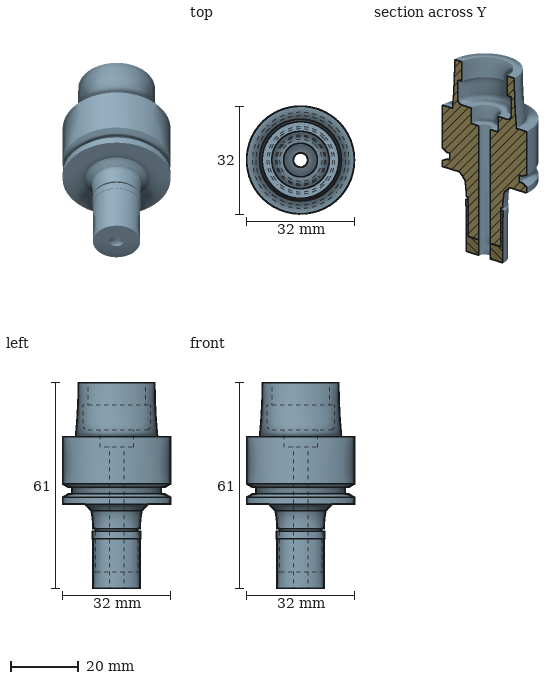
import cadquery as cq
import math

nut_height = 17.0
nut_collar_height = 2.2
nose_bottom = 17.7
nose_top = 23.0
flange_bottom = 25.0
flange_top = 45.0
overall_height = 61.0

flange_radius = 16.0
groove_floor_radius = 13.25
groove_lower_edge = 27.0
groove_upper_edge = 31.0
groove_flank_height = 1.0
groove_flank_angle = 30.0
groove_lip_radius = flange_radius - groove_flank_height / math.tan(math.radians(groove_flank_angle))

shank_top_radius = 11.35
shank_base_radius = 12.15

nose_cone_radius = 9.4
nose_top_radius = 7.5
nose_bottom_radius = 7.0

nut_radius = 7.0
nut_collar_radius = 7.15
stub_radius = 6.25
nut_end_wall = 5.0

bore_radius = 8.5
bore_mouth_depth = 6.5
undercut_radius = 10.0
undercut_wall_length = 6.0
undercut_fillet = 1.5
counterbore_radius = 5.0
counterbore_depth = 5.0
through_hole_radius = 2.1

undercut_top = overall_height - bore_mouth_depth
undercut_wall_bottom = undercut_top - undercut_wall_length
bore_floor = undercut_wall_bottom - undercut_fillet


def flare_midpoint(tangent_radius, tangent_z, flared_radius, flared_z):
    """Midpoint of an arc that starts parallel to the axis and flares outwards."""
    spread = flared_radius - tangent_radius
    length = flared_z - tangent_z
    arc_radius = (spread**2 + length**2) / (2 * spread)
    half_turn = math.asin(abs(length) / arc_radius) / 2
    radius = tangent_radius + arc_radius * (1 - math.cos(half_turn))
    z = tangent_z + math.copysign(arc_radius * math.sin(half_turn), length)
    return (radius, z)


def cylinder(radius, bottom, top):
    return cq.Workplane("XY").workplane(offset=bottom).circle(radius).extrude(top - bottom)


def revolve_profile(profile):
    return profile.close().revolve(360, (0, 0, 0), (0, 1, 0))


def make_holder_outside():
    nose_flare = flare_midpoint(nose_bottom_radius, nose_bottom, nose_top_radius, nose_top)
    shank_flare = flare_midpoint(shank_top_radius, overall_height, shank_base_radius, flange_top)
    profile = (
        cq.Workplane("XZ")
        .moveTo(0, nut_end_wall)
        .lineTo(stub_radius, nut_end_wall)
        .lineTo(stub_radius, nose_bottom)
        .lineTo(nose_bottom_radius, nose_bottom)
        .threePointArc(nose_flare, (nose_top_radius, nose_top))
        .lineTo(nose_cone_radius, flange_bottom)
        .lineTo(flange_radius, flange_bottom)
        .lineTo(flange_radius, groove_lower_edge)
        .lineTo(groove_lip_radius, groove_lower_edge + groove_flank_height)
        .lineTo(groove_floor_radius, groove_lower_edge + groove_flank_height)
        .lineTo(groove_floor_radius, groove_upper_edge - groove_flank_height)
        .lineTo(groove_lip_radius, groove_upper_edge - groove_flank_height)
        .lineTo(flange_radius, groove_upper_edge)
        .lineTo(flange_radius, flange_top)
        .lineTo(shank_base_radius, flange_top)
        .threePointArc(shank_flare, (shank_top_radius, overall_height))
        .lineTo(0, overall_height)
    )
    return revolve_profile(profile)


def make_bore():
    """Shank bore, widening below its mouth into an undercut with a rounded floor corner."""
    undercut = cylinder(undercut_radius, bore_floor, undercut_top).faces("<Z").edges().fillet(undercut_fillet)
    mouth = cylinder(bore_radius, undercut_top, overall_height)
    counterbore = cylinder(counterbore_radius, bore_floor - counterbore_depth, bore_floor)
    return undercut.union(mouth).union(counterbore)


def make_through_hole():
    return cylinder(through_hole_radius, 0, overall_height)


def make_holder():
    return make_holder_outside().cut(make_bore()).cut(make_through_hole())


def make_nut():
    collar_bottom = nut_height - nut_collar_height
    barrel = cylinder(nut_radius, 0, collar_bottom)
    collar = cylinder(nut_collar_radius, collar_bottom, nut_height)
    thread_recess = cylinder(stub_radius, nut_end_wall, nut_height)
    return barrel.union(collar).cut(thread_recess).cut(make_through_hole())


holder = make_holder()
nut = make_nut()
result = cq.Compound.makeCompound([holder.val(), nut.val()])